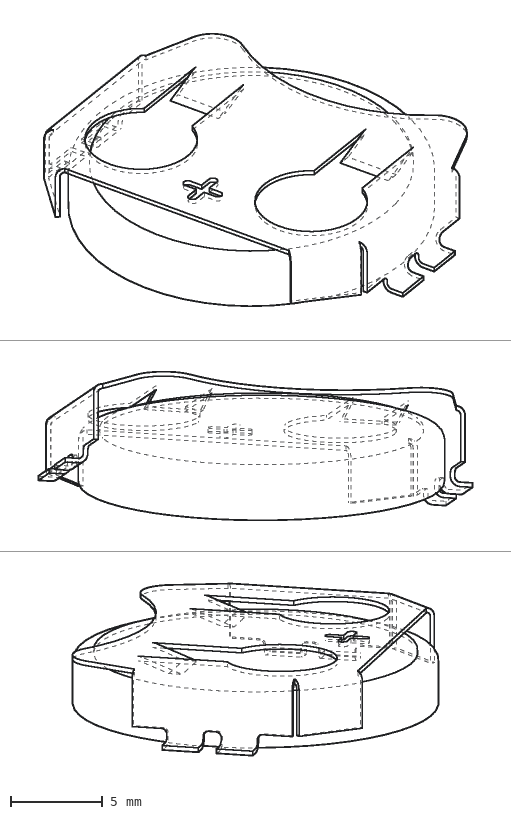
import cadquery as cq
import math


CELL_X = -0.25
CELL_DIAMETER = 20.0
CELL_HEIGHT = 3.2
SHOULDER_HEIGHT = 2.9
CELL_CAP_DIAMETER = 17.7
SHOULDER_FILLET = 0.46
CAP_FILLET = 0.15
CELL_BOTTOM_FILLET = 0.12

CLIP_WIDTH = 23.25
CLIP_HEIGHT = 4.07
SHEET = 0.25
BEND_INNER = 0.25
BEND_OUTER = BEND_INNER + SHEET
PLATE_UNDERSIDE = CLIP_HEIGHT - SHEET

PLATE_HALF_WIDTH = 10.09
SIDE_MIDDLE_Y = -0.25
SIDE_LENGTH = 9.05
SIDE_BACK_Y = SIDE_MIDDLE_Y + SIDE_LENGTH / 2
SIDE_FRONT_Y = SIDE_MIDDLE_Y - SIDE_LENGTH / 2
FRONT_HALF_WIDTH = 7.4
FRONT_Y = -7.65
LOBE_X = 8.09
LOBE_Y = 9.74
LOBE_RADIUS = 1.77
BACK_ARC_Y = 6.05

FLANGE_BOTTOM = 0.95
FOOT_BEND_INNER = 0.3
FOOT_BEND_OUTER = FOOT_BEND_INNER + SHEET
FOOT_WIDTH = 2.05
FOOT_GAP = 1.02
FOOT_NOTCH_FILLET = 0.3
FEET_SPAN = 2 * FOOT_WIDTH + FOOT_GAP
FOOT_REACH = CLIP_WIDTH / 2 - PLATE_HALF_WIDTH

KEYHOLE_X = 5.6
KEYHOLE_DIAMETER = 6.14
KEYHOLE_Y = -2.84
SLOT_WIDTH = 3.15
SLOT_END_Y = 4.8
TONGUE_ANGLE = math.radians(20)
TONGUE_BEND_OUTER = 0.6
TONGUE_BEND_INNER = TONGUE_BEND_OUTER - SHEET

PLUS_Y = -5.11
PLUS_LENGTH = 2.49
PLUS_ARM_WIDTH = 0.5


def make_cell():
    can = (
        cq.Workplane("XY")
        .circle(CELL_DIAMETER / 2)
        .extrude(SHOULDER_HEIGHT)
        .faces(">Z").edges().fillet(SHOULDER_FILLET)
        .faces("<Z").edges().fillet(CELL_BOTTOM_FILLET)
    )
    cap = (
        cq.Workplane("XY")
        .circle(CELL_CAP_DIAMETER / 2)
        .extrude(CELL_HEIGHT)
        .faces(">Z").edges().fillet(CAP_FILLET)
    )
    return can.union(cap).translate((CELL_X, 0, 0))


def make_plate():
    plate = (
        cq.Workplane("XY", origin=(0, 0, PLATE_UNDERSIDE))
        .moveTo(-FRONT_HALF_WIDTH, FRONT_Y)
        .lineTo(FRONT_HALF_WIDTH, FRONT_Y)
        .lineTo(PLATE_HALF_WIDTH, SIDE_FRONT_Y)
        .lineTo(PLATE_HALF_WIDTH, SIDE_BACK_Y)
        .lineTo(LOBE_X, LOBE_Y)
        .threePointArc((0, BACK_ARC_Y), (-LOBE_X, LOBE_Y))
        .lineTo(-PLATE_HALF_WIDTH, SIDE_BACK_Y)
        .lineTo(-PLATE_HALF_WIDTH, SIDE_FRONT_Y)
        .close()
        .extrude(SHEET)
    )
    lobe_corners = cq.selectors.BoxSelector(
        (-PLATE_HALF_WIDTH, SIDE_BACK_Y + SHEET, 0),
        (PLATE_HALF_WIDTH, LOBE_Y + SHEET, CLIP_HEIGHT),
    )
    return plate.edges("|Z").edges(lobe_corners).fillet(LOBE_RADIUS)


def plus_cutter():
    arm = cq.Workplane("XY", origin=(0, PLUS_Y, PLATE_UNDERSIDE))
    across = arm.slot2D(PLUS_LENGTH, PLUS_ARM_WIDTH).extrude(SHEET)
    along = arm.slot2D(PLUS_LENGTH, PLUS_ARM_WIDTH, 90).extrude(SHEET)
    return across.union(along)


def keyhole_cutter(x):
    sheet_plane = cq.Workplane("XY", origin=(x, 0, PLATE_UNDERSIDE))
    slot_length = SLOT_END_Y - KEYHOLE_Y
    slot = (
        sheet_plane.center(0, KEYHOLE_Y + slot_length / 2)
        .rect(SLOT_WIDTH, slot_length)
        .extrude(SHEET)
    )
    opening = sheet_plane.center(0, KEYHOLE_Y).circle(KEYHOLE_DIAMETER / 2).extrude(SHEET)
    return slot.union(opening)


def make_tongue(x):
    """Strip bent down from the slot's end, cut off flush where it rests on the cell."""
    bend_z = CLIP_HEIGHT - TONGUE_BEND_OUTER

    def bend_point(radius, angle):
        return (SLOT_END_Y - radius * math.sin(angle), bend_z + radius * math.cos(angle))

    def resting_point(radius):
        y, z = bend_point(radius, TONGUE_ANGLE)
        return (y - (z - CELL_HEIGHT) / math.tan(TONGUE_ANGLE), CELL_HEIGHT)

    return (
        cq.Workplane("YZ", origin=(x, 0, 0))
        .moveTo(*bend_point(TONGUE_BEND_OUTER, 0))
        .threePointArc(
            bend_point(TONGUE_BEND_OUTER, TONGUE_ANGLE / 2),
            bend_point(TONGUE_BEND_OUTER, TONGUE_ANGLE),
        )
        .lineTo(*resting_point(TONGUE_BEND_OUTER))
        .lineTo(*resting_point(TONGUE_BEND_INNER))
        .lineTo(*bend_point(TONGUE_BEND_INNER, TONGUE_ANGLE))
        .threePointArc(
            bend_point(TONGUE_BEND_INNER, TONGUE_ANGLE / 2),
            bend_point(TONGUE_BEND_INNER, 0),
        )
        .close()
        .extrude(SLOT_WIDTH / 2, both=True)
    )



def bend_strip(length):
    """Quarter bend at the plate's edge with a straight wall below it."""
    wall_top = CLIP_HEIGHT - BEND_OUTER
    return (
        cq.Workplane("XZ")
        .moveTo(0, CLIP_HEIGHT)
        .radiusArc((BEND_OUTER, wall_top), BEND_OUTER)
        .lineTo(BEND_OUTER, FLANGE_BOTTOM)
        .lineTo(BEND_INNER, FLANGE_BOTTOM)
        .lineTo(BEND_INNER, wall_top)
        .radiusArc((0, PLATE_UNDERSIDE), -BEND_INNER)
        .close()
        .extrude(length / 2, both=True)
    )


def foot_strip():
    """Wall below the flange, bent outward into a flat foot, over the span of both feet."""
    foot_bend_x = BEND_OUTER + FOOT_BEND_INNER
    return (
        cq.Workplane("XZ")
        .moveTo(BEND_OUTER, FLANGE_BOTTOM)
        .lineTo(BEND_OUTER, FOOT_BEND_OUTER)
        .radiusArc((foot_bend_x, SHEET), -FOOT_BEND_INNER)
        .lineTo(FOOT_REACH, SHEET)
        .lineTo(FOOT_REACH, 0)
        .lineTo(foot_bend_x, 0)
        .radiusArc((BEND_INNER, FOOT_BEND_OUTER), FOOT_BEND_OUTER)
        .lineTo(BEND_INNER, FLANGE_BOTTOM)
        .close()
        .extrude(FEET_SPAN / 2, both=True)
    )


def make_side_flange():
    notch = (
        cq.Workplane("XY")
        .box(FOOT_REACH, FOOT_GAP, FLANGE_BOTTOM, centered=(False, True, False))
        .edges("|X and >Z").fillet(FOOT_NOTCH_FILLET)
    )
    flange = bend_strip(SIDE_LENGTH).union(foot_strip().cut(notch))
    foot_roots = cq.selectors.BoxSelector(
        (0, -FEET_SPAN / 2 - SHEET, FLANGE_BOTTOM - SHEET / 2),
        (FOOT_REACH, FEET_SPAN / 2 + SHEET, FLANGE_BOTTOM + SHEET / 2),
    )
    return flange.edges("|X").edges(foot_roots).fillet(FOOT_NOTCH_FILLET)


def make_right_corner_flange():
    run_x = PLATE_HALF_WIDTH - FRONT_HALF_WIDTH
    run_y = SIDE_FRONT_Y - FRONT_Y
    outward_angle = -math.degrees(math.atan2(run_x, run_y))
    middle = ((PLATE_HALF_WIDTH + FRONT_HALF_WIDTH) / 2, (SIDE_FRONT_Y + FRONT_Y) / 2, 0)
    return (
        bend_strip(math.hypot(run_x, run_y))
        .rotate((0, 0, 0), (0, 0, 1), outward_angle)
        .translate(middle)
    )


def make_clip():
    clip = make_plate().cut(plus_cutter())
    for x in (-KEYHOLE_X, KEYHOLE_X):
        clip = clip.cut(keyhole_cutter(x)).union(make_tongue(x))
    side_flange = make_side_flange().translate((PLATE_HALF_WIDTH, SIDE_MIDDLE_Y, 0))
    for flange in (side_flange, make_right_corner_flange()):
        clip = clip.union(flange).union(flange.mirror("YZ"))
    return clip


cell = make_cell()
clip = make_clip()
result = cq.Compound.makeCompound([cell.val(), clip.val()])